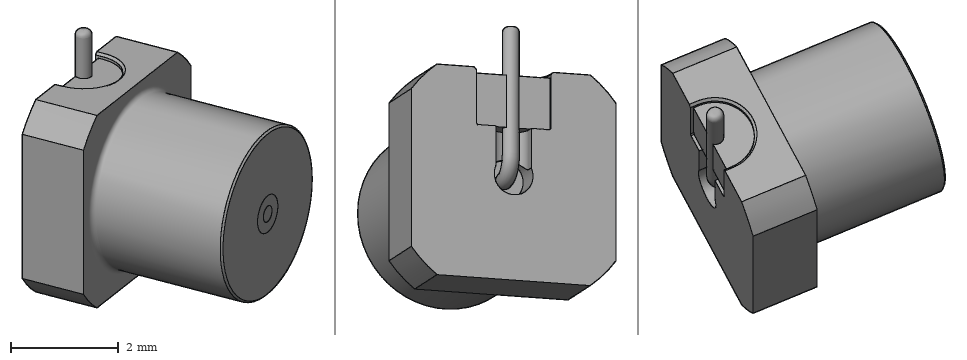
import cadquery as cq

total_length = 4.1
flange_side = 4.0
flange_thickness = 1.31
flange_corner_radius = 2.497
barrel_radius = 1.7
barrel_root_fillet = 0.1
barrel_end_chamfer = 0.04

pin_radius = 0.16
pin_axis_x = 0.165
pin_top_z = 2.84
pin_bend_radius = 0.415
pin_tip_fillet = 0.11
pin_bend_end_x = pin_axis_x + pin_bend_radius

bore_radius = 0.378
insulator_start_x = pin_bend_end_x

passage_radius = 0.345
seat_radius = 0.725
seat_depth = 1.095
seat_mouth_chamfer = 0.05
plug_recess = 0.1
plug_flat_x = 0.065
plug_bottom_chamfer = 0.025
selection_margin = 0.005

flange_top_z = flange_side / 2
seat_floor_z = flange_top_z - seat_depth
plug_height = seat_depth - plug_recess


def rod_x(radius, start_x, end_x):
    """Cylinder on the barrel axis."""
    return cq.Workplane("YZ").workplane(offset=start_x).circle(radius).extrude(end_x - start_x)


def rod_z(radius, start_z, end_z):
    """Cylinder on the axis of the pin's upright leg."""
    return (
        cq.Workplane("XY", origin=(pin_axis_x, 0, start_z)).circle(radius).extrude(end_z - start_z)
    )


def round_ended_slot(radius, start_x, start_z, end_z):
    """Upright prism with flat sides from start_x and a round end about the upright leg."""
    return (
        cq.Workplane("XY", origin=(0, 0, start_z))
        .moveTo(start_x, -radius)
        .lineTo(pin_axis_x, -radius)
        .threePointArc((pin_axis_x + radius, 0), (pin_axis_x, radius))
        .lineTo(start_x, radius)
        .close()
        .extrude(end_z - start_z)
    )


def make_plug_blank(start_x, height):
    """Plug standing on the seat floor, with the sides and round end of its floor chamfered."""
    blank = round_ended_slot(seat_radius, start_x, seat_floor_z, seat_floor_z + height)
    return blank.faces("<Z").edges("not <X").chamfer(plug_bottom_chamfer)


def make_housing():
    flange = cq.Workplane("YZ").rect(flange_side, flange_side).extrude(flange_thickness)
    flange = flange.intersect(rod_x(flange_corner_radius, 0, flange_thickness))

    barrel = rod_x(barrel_radius, flange_thickness, total_length)
    barrel = barrel.faces(">X").chamfer(barrel_end_chamfer)
    body = flange.union(barrel)
    barrel_root = cq.selectors.NearestToPointSelector((flange_thickness, 0, 0))
    body = body.edges(barrel_root).fillet(barrel_root_fillet)

    body = body.cut(make_plug_blank(0, seat_depth))
    mouth_zone = cq.selectors.BoxSelector(
        (-selection_margin, -seat_radius - selection_margin, flange_top_z - seat_mouth_chamfer),
        (flange_thickness, seat_radius + selection_margin, flange_top_z + seat_mouth_chamfer),
        boundingbox=True,
    )
    body = body.edges(mouth_zone).chamfer(seat_mouth_chamfer)

    body = body.cut(round_ended_slot(passage_radius, 0, 0, seat_floor_z))
    return body.cut(rod_x(bore_radius, 0, total_length))


def make_pin():
    path = (
        cq.Workplane("XZ")
        .moveTo(pin_axis_x, pin_top_z)
        .lineTo(pin_axis_x, pin_bend_radius)
        .radiusArc((pin_bend_end_x, 0), -pin_bend_radius)
        .lineTo(total_length, 0)
    )
    section = cq.Workplane("XY", origin=(pin_axis_x, 0, pin_top_z)).circle(pin_radius)
    return section.sweep(path).faces(">Z").edges().fillet(pin_tip_fillet)


def make_top_insulator():
    plug = make_plug_blank(plug_flat_x, plug_height)
    return plug.cut(rod_z(pin_radius, seat_floor_z, flange_top_z))


def make_barrel_insulator():
    sleeve = rod_x(bore_radius, insulator_start_x, total_length)
    return sleeve.cut(rod_x(pin_radius, insulator_start_x, total_length))


housing = make_housing()
pin = make_pin()
top_insulator = make_top_insulator()
barrel_insulator = make_barrel_insulator()

result = cq.Compound.makeCompound(
    [housing.val(), pin.val(), top_insulator.val(), barrel_insulator.val()]
)